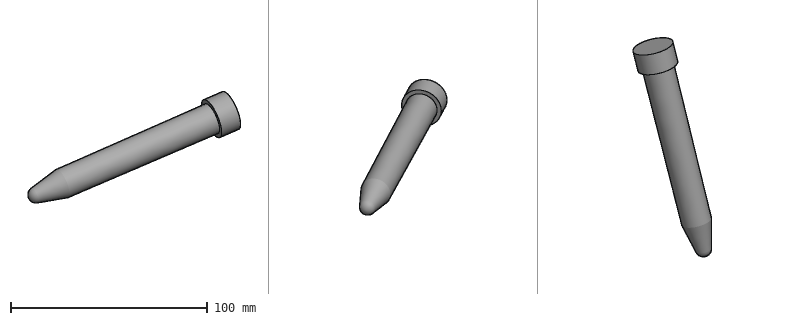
import cadquery as cq
import math

total_length = 117.9
head_diameter = 21.0
head_length = 11.1

collar_diameter = 16.5
collar_length = 1.8
shank_end_diameter = 15.7
shank_end = 98.5

nose_half_angle = math.radians(13)
tip_radius = 4.2

head_radius = head_diameter / 2
collar_radius = collar_diameter / 2
shank_end_radius = shank_end_diameter / 2
collar_end = head_length + collar_length

tip_center = total_length - tip_radius
tangent_radius = tip_radius * math.cos(nose_half_angle)
tangent_position = tip_center + tip_radius * math.sin(nose_half_angle)
arc_middle_angle = (math.pi / 2 + nose_half_angle) / 2
arc_middle = (
    tip_radius * math.cos(arc_middle_angle),
    -(tip_center + tip_radius * math.sin(arc_middle_angle)),
)

half_profile = (
    cq.Workplane("XY")
    .moveTo(0, 0)
    .lineTo(head_radius, 0)
    .lineTo(head_radius, -head_length)
    .lineTo(collar_radius, -head_length)
    .lineTo(collar_radius, -collar_end)
    .lineTo(shank_end_radius, -shank_end)
    .lineTo(tangent_radius, -tangent_position)
    .threePointArc(arc_middle, (0, -total_length))
    .close()
)

result = half_profile.revolve(360, (0, 0, 0), (0, 1, 0))